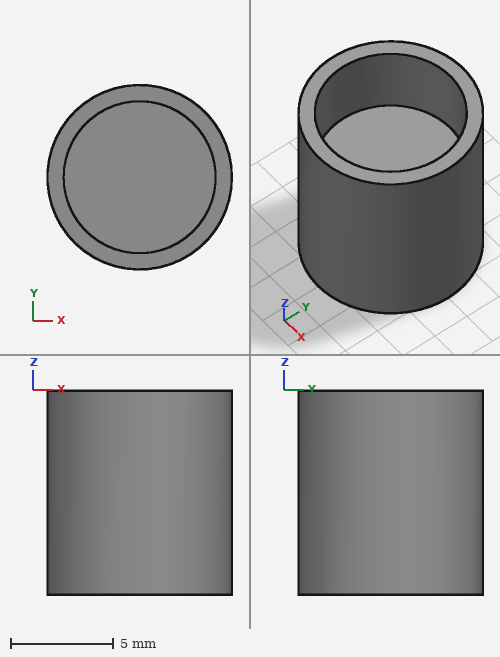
import cadquery as cq

height = 10.0
outer_diameter = 9.04
bore_diameter = 7.44
bore_depth = 4.0

body = cq.Workplane("XY").circle(outer_diameter / 2).extrude(height)

result = body.faces(">Z").workplane().hole(bore_diameter, bore_depth)